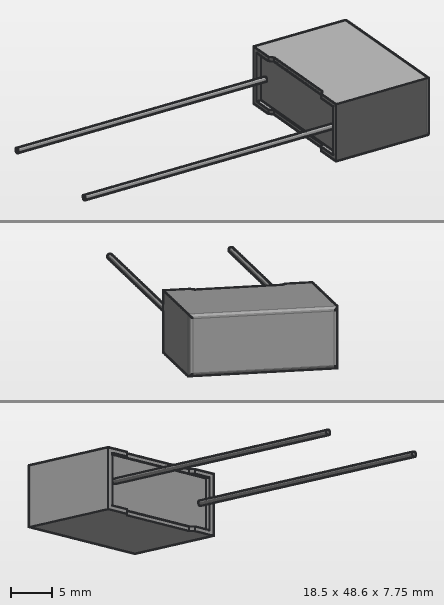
import cadquery as cq

total_length = 48.6
case_width = 18.5
case_depth = 13.55
case_height = 7.75

side_wall = 0.75
flat_wall = 0.6
back_wall = side_wall
back_fillet = 0.5
notch_depth = 0.5
notch_mouth_width = 11.85
notch_floor_width = 10.85

filling_recess = 0.65
lead_diameter = 0.7
lead_spacing = 15.05

back_y = total_length / 2
open_y = back_y - case_depth
filling_y = open_y + filling_recess
lead_tip_y = -total_length / 2

cavity_width = case_width - 2 * side_wall
cavity_height = case_height - 2 * flat_wall
cavity_end_y = back_y - back_wall


def block(width, height, start_y, end_y):
    """Box centred on the Y axis, running from start_y to end_y."""
    return cq.Workplane("XY").box(width, end_y - start_y, height).translate((0, (start_y + end_y) / 2, 0))


def make_notch():
    """Trapezoidal cutter that lowers the rim of both broad walls."""
    notch_floor_y = open_y + notch_depth
    return (
        cq.Workplane("XY")
        .moveTo(-notch_mouth_width / 2, open_y)
        .lineTo(notch_mouth_width / 2, open_y)
        .lineTo(notch_floor_width / 2, notch_floor_y)
        .lineTo(-notch_floor_width / 2, notch_floor_y)
        .close()
        .extrude(case_height / 2, both=True)
    )


def make_case():
    """Open box with a rounded back end and a notched rim."""
    shell = block(case_width, case_height, open_y, back_y).faces(">Y").edges().fillet(back_fillet)
    cavity = block(cavity_width, cavity_height, open_y, cavity_end_y)
    return shell.cut(cavity).cut(make_notch())


def make_filling():
    """Block that fills the cavity up to just below the rim."""
    return block(cavity_width, cavity_height, filling_y, cavity_end_y)


def make_lead(x):
    """Straight round wire standing on the face of the filling."""
    return (
        cq.Workplane("XZ", origin=(x, filling_y, 0))
        .circle(lead_diameter / 2)
        .extrude(filling_y - lead_tip_y)
    )


case = make_case()
filling = make_filling()
leads = [make_lead(side * lead_spacing / 2) for side in (-1, 1)]

result = cq.Compound.makeCompound([case.val(), filling.val(), *[lead.val() for lead in leads]])